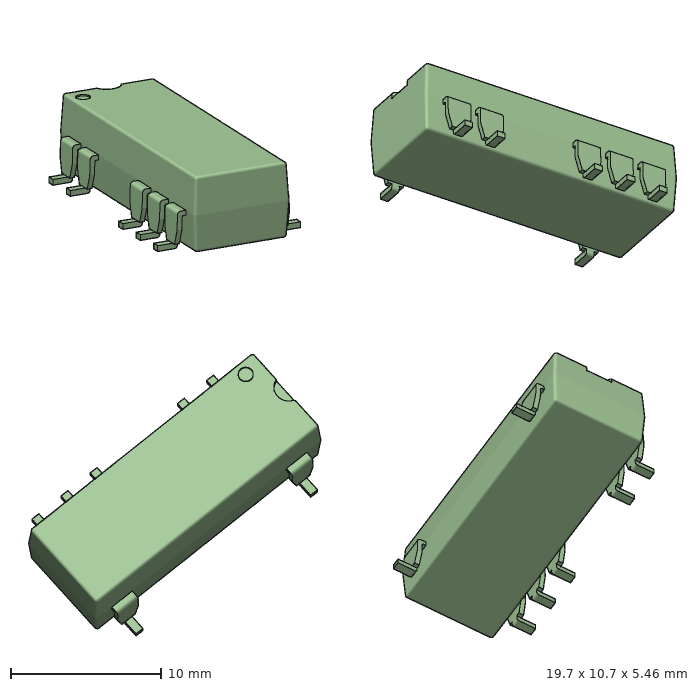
import cadquery as cq

BODY_LENGTH = 19.69
BODY_WIDTH = 7.11
BODY_HALF_HEIGHT = 2.65
BODY_TOP_Z = 5.46
PARTING_Z = BODY_TOP_Z - BODY_HALF_HEIGHT
DRAFT_ANGLE = 3.0
EDGE_RADIUS = 0.2

NOTCH_RADIUS = 1.0
NOTCH_DEPTH = 0.5
NOTCH_CENTER_OUTSET = 0.12
NOTCH_CENTER_X = -BODY_LENGTH / 2 - NOTCH_CENTER_OUTSET

MARK_RADIUS = 0.5
MARK_DEPTH = 0.1
MARK_X = -8.36
MARK_Y = -2.55

LEAD_PITCH = 2.54
FRONT_LEAD_SLOTS = (-3, -2, 1, 2, 3)
BACK_LEAD_SLOTS = (-3, 3)
LEAD_SPAN = 10.7
LEAD_THICKNESS = 0.35
FOOT_THICKNESS = 0.41
LEAD_ROOT_Y = 3.0
LEG_TOP_Y = 4.17
LEG_LEAN = 0.07
BEND_RADIUS = 0.25
BEND_INNER_RADIUS = 0.1
HEEL_RADIUS = 0.2

SHOULDER_WIDTH = 1.78
LEG_TIP_WIDTH = 1.17
FOOT_WIDTH = 0.6
LEG_TAPER_START_Z = 1.47


def make_body_half(direction):
    """One half of the body, growing from the parting plane along +Z (1) or -Z (-1)."""
    half = (
        cq.Workplane("XY")
        .rect(BODY_LENGTH, BODY_WIDTH)
        .extrude(BODY_HALF_HEIGHT, taper=DRAFT_ANGLE)
        .edges("not(|X or |Y)")
        .fillet(EDGE_RADIUS)
        .faces(">Z")
        .edges()
        .fillet(EDGE_RADIUS)
    )
    if direction < 0:
        half = half.mirror("XY")
    return half.translate((0, 0, PARTING_Z))


def make_top_recess(x, y, radius, depth):
    """Cylinder that cuts a round recess into the top face."""
    return (
        cq.Workplane("XY", origin=(x, y, BODY_TOP_Z - depth))
        .circle(radius)
        .extrude(2 * depth)
    )


def make_lead_profile():
    """Bent strip seen along X: shoulder, slightly leaning leg and flat foot."""
    foot_y = LEG_TOP_Y + LEG_LEAN
    strip = (
        cq.Workplane("YZ")
        .moveTo(LEAD_ROOT_Y, PARTING_Z)
        .lineTo(LEG_TOP_Y, PARTING_Z)
        .lineTo(foot_y, FOOT_THICKNESS)
        .lineTo(LEAD_SPAN / 2, FOOT_THICKNESS)
        .lineTo(LEAD_SPAN / 2, 0)
        .lineTo(foot_y - LEAD_THICKNESS, 0)
        .lineTo(LEG_TOP_Y - LEAD_THICKNESS, PARTING_Z - LEAD_THICKNESS)
        .lineTo(LEAD_ROOT_Y, PARTING_Z - LEAD_THICKNESS)
        .close()
        .extrude(SHOULDER_WIDTH / 2, both=True)
    )
    strip = round_bend(strip, LEG_TOP_Y, PARTING_Z, BEND_RADIUS)
    strip = round_bend(strip, LEG_TOP_Y - LEAD_THICKNESS, PARTING_Z - LEAD_THICKNESS, BEND_INNER_RADIUS)
    return round_bend(strip, foot_y - LEAD_THICKNESS, 0, HEEL_RADIUS)


def round_bend(strip, y, z, radius):
    """Fillet the edge of the strip that runs along X through (y, z)."""
    return strip.edges("|X").edges(cq.NearestToPointSelector((0, y, z))).fillet(radius)


def make_lead():
    """Lead at X = 0 on the +Y side: the bent strip trimmed to its stepped front outline."""
    outline = (
        cq.Workplane("XZ")
        .moveTo(-SHOULDER_WIDTH / 2, PARTING_Z)
        .lineTo(-SHOULDER_WIDTH / 2, LEG_TAPER_START_Z)
        .lineTo(-LEG_TIP_WIDTH / 2, FOOT_THICKNESS)
        .lineTo(-FOOT_WIDTH / 2, FOOT_THICKNESS)
        .lineTo(-FOOT_WIDTH / 2, 0)
        .lineTo(FOOT_WIDTH / 2, 0)
        .lineTo(FOOT_WIDTH / 2, FOOT_THICKNESS)
        .lineTo(LEG_TIP_WIDTH / 2, FOOT_THICKNESS)
        .lineTo(SHOULDER_WIDTH / 2, LEG_TAPER_START_Z)
        .lineTo(SHOULDER_WIDTH / 2, PARTING_Z)
        .close()
        .extrude(-LEAD_SPAN)
    )
    return make_lead_profile().intersect(outline)


body = make_body_half(1).union(make_body_half(-1))
body = body.cut(make_top_recess(NOTCH_CENTER_X, 0, NOTCH_RADIUS, NOTCH_DEPTH))
body = body.cut(make_top_recess(MARK_X, MARK_Y, MARK_RADIUS, MARK_DEPTH))

back_lead = make_lead()
front_lead = back_lead.mirror("XZ")

result = body
for slot in FRONT_LEAD_SLOTS:
    result = result.union(front_lead.translate((slot * LEAD_PITCH, 0, 0)))
for slot in BACK_LEAD_SLOTS:
    result = result.union(back_lead.translate((slot * LEAD_PITCH, 0, 0)))